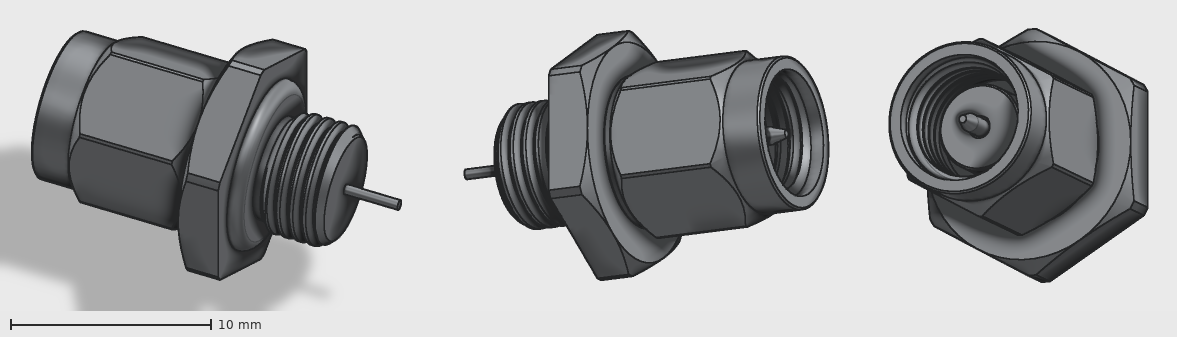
import cadquery as cq
import math


PITCH = 25.4 / 36
MAJOR_RADIUS = 6.35 / 2
MINOR_RADIUS = 2.8
ROOT_FLAT = 0.09
CUTTER_OVERSHOOT = 0.06
FLANK_SLOPE = math.tan(math.radians(30))

NUT_LENGTH = 8.77
NUT_RADIUS = 3.87
NUT_CHAMFER = 0.1
NUT_HEX_START = 2.03
NUT_HEX_END = 8.38
NUT_HEX_FLATS = 7.9375
NUT_HEX_CORNER_RADIUS = 4.53
COUNTERBORE_RADIUS = 3.2
COUNTERBORE_DEPTH = 0.7
NUT_BORE_END = 4.7
NUT_THREAD_TURNS = 6
NUT_THREAD_START = 0.0

BARREL_RADIUS = 2.2
BARREL_CHAMFER = 0.1
BARREL_FRONT = 2.54
FLANGE_END = 10.95
FLANGE_FLATS = 11.11
FLANGE_CORNER_RADIUS = 12.58 / 2
FLANGE_CHAMFER_SLOPE = math.tan(math.radians(30))
RIM_END = 11.6
RIM_RADIUS = 4.48
NECK_RADIUS = 2.71
NECK_END = 12.0
REAR_END = 15.48
REAR_THREAD_START = 11.6
REAR_THREAD_TURNS = 6

PIN_TIP = 0.43
PIN_TIP_RADIUS = 0.2
PIN_RADIUS = 0.46
PIN_CONE_END = 1.3
PIN_RECESS_RADIUS = 0.57
PIN_RECESS_DEPTH = 0.2
WIRE_RADIUS = 0.26
WIRE_END = 18.41


def axial_sketch():
    """Sketch through the axis: its x is the place along X and its y is the radius, towards -Z."""
    return cq.Workplane(cq.Plane(origin=(0, 0, 0), xDir=(1, 0, 0), normal=(0, 1, 0)))


def spin(outline):
    """Turn a closed axial outline once about the connector axis."""
    return outline.revolve(360, (0, 0, 0), (1, 0, 0))


def revolve_about_x(points):
    """Round solid from an outline of (x, radius) points."""
    return spin(axial_sketch().polyline(points).close())


def cylinder(radius, start, end):
    """Solid cylinder along X."""
    return revolve_about_x([(start, 0), (start, radius), (end, radius), (end, 0)])


def hexagon(flats, start, end):
    """Hexagonal prism along X with two corners on the Z axis."""
    across_corners = flats / math.cos(math.radians(30))
    plane = cq.Plane(origin=(start, 0, 0), xDir=(0, 0, 1), normal=(1, 0, 0))
    return cq.Workplane(plane).polygon(6, across_corners).extrude(end - start)


def thread_groove(inner_radius, outer_radius, inner_width, outer_width, start, turns):
    """Right-handed helical groove about X whose first turn begins at the -Z side."""
    section = [
        (inner_radius, -inner_width / 2),
        (outer_radius, -outer_width / 2),
        (outer_radius, outer_width / 2),
        (inner_radius, inner_width / 2),
    ]
    faces = []
    for turn in range(turns):
        helices = [
            cq.Wire.makeHelix(PITCH, PITCH, radius, cq.Vector(0, 0, z + turn * PITCH)).Edges()[0]
            for radius, z in section
        ]
        for corner, helix in enumerate(helices):
            faces.append(cq.Face.makeRuledSurface(helices[corner - 1], helix))
    for end in (0, turns * PITCH):
        corners = [cq.Vector(radius, 0, z + end) for radius, z in section]
        faces.append(cq.Face.makeFromWires(cq.Wire.makePolygon(corners, close=True)))
    groove = cq.Workplane(cq.Solid.makeSolid(cq.Shell.makeShell(faces)))
    return groove.rotate((0, 0, 0), (0, 1, 0), 90).translate((start, 0, 0))


def make_nut():
    """Hex coupling nut: threaded blind bore in front, plain bore around the barrel behind it."""
    hex_rise = NUT_HEX_CORNER_RADIUS - NUT_RADIUS
    hex_envelope = revolve_about_x([
        (NUT_HEX_START, 0),
        (NUT_HEX_START, NUT_RADIUS),
        (NUT_HEX_START + hex_rise, NUT_HEX_CORNER_RADIUS),
        (NUT_HEX_END - hex_rise, NUT_HEX_CORNER_RADIUS),
        (NUT_HEX_END, NUT_RADIUS),
        (NUT_HEX_END, 0),
    ])
    collar = cylinder(NUT_RADIUS, 0, NUT_LENGTH)
    collar = collar.faces("<X").chamfer(NUT_CHAMFER)
    collar = collar.faces(">X").chamfer(NUT_CHAMFER)
    nut = hexagon(NUT_HEX_FLATS, NUT_HEX_START, NUT_HEX_END).intersect(hex_envelope).union(collar)

    cone_end = COUNTERBORE_DEPTH + COUNTERBORE_RADIUS - MINOR_RADIUS
    bore = revolve_about_x([
        (0, 0),
        (0, COUNTERBORE_RADIUS),
        (COUNTERBORE_DEPTH, COUNTERBORE_RADIUS),
        (cone_end, MINOR_RADIUS),
        (NUT_BORE_END, MINOR_RADIUS),
        (NUT_BORE_END, BARREL_RADIUS),
        (NUT_LENGTH, BARREL_RADIUS),
        (NUT_LENGTH, 0),
    ])
    inner_radius = MINOR_RADIUS - CUTTER_OVERSHOOT
    inner_width = ROOT_FLAT + 2 * FLANK_SLOPE * (MAJOR_RADIUS - inner_radius)
    groove = thread_groove(
        inner_radius, MAJOR_RADIUS, inner_width, ROOT_FLAT, NUT_THREAD_START, NUT_THREAD_TURNS
    )
    return nut.cut(bore).cut(groove)


def make_flange():
    chamfer_radius = FLANGE_FLATS / 2
    chamfer_length = (FLANGE_CORNER_RADIUS - chamfer_radius) * FLANGE_CHAMFER_SLOPE
    envelope = revolve_about_x([
        (NUT_LENGTH, 0),
        (NUT_LENGTH, chamfer_radius),
        (NUT_LENGTH + chamfer_length, FLANGE_CORNER_RADIUS),
        (FLANGE_END, FLANGE_CORNER_RADIUS),
        (FLANGE_END, 0),
    ])
    return hexagon(FLANGE_FLATS, NUT_LENGTH, FLANGE_END).intersect(envelope)


def make_rim():
    """Sealing rim whose outer edge is a quarter round over its full length."""
    rim_round = RIM_END - FLANGE_END
    round_middle = rim_round * math.sqrt(0.5)
    outline = (
        axial_sketch()
        .moveTo(FLANGE_END, 0)
        .lineTo(FLANGE_END, RIM_RADIUS)
        .threePointArc(
            (FLANGE_END + round_middle, RIM_RADIUS - rim_round + round_middle),
            (RIM_END, RIM_RADIUS - rim_round),
        )
        .lineTo(RIM_END, 0)
        .close()
    )
    return spin(outline)


def make_rear_thread():
    rise = MAJOR_RADIUS - NECK_RADIUS
    blank = revolve_about_x([
        (NECK_END, 0),
        (NECK_END, NECK_RADIUS),
        (NECK_END + rise, MAJOR_RADIUS),
        (REAR_END - rise, MAJOR_RADIUS),
        (REAR_END, NECK_RADIUS),
        (REAR_END, 0),
    ])
    outer_radius = MAJOR_RADIUS + CUTTER_OVERSHOOT
    outer_width = ROOT_FLAT + 2 * FLANK_SLOPE * (outer_radius - MINOR_RADIUS)
    groove = thread_groove(
        MINOR_RADIUS, outer_radius, ROOT_FLAT, outer_width, REAR_THREAD_START, REAR_THREAD_TURNS
    )
    return blank.cut(groove)


def make_pin():
    return revolve_about_x([
        (PIN_TIP, 0),
        (PIN_TIP, PIN_TIP_RADIUS),
        (PIN_CONE_END, PIN_RADIUS),
        (BARREL_FRONT + PIN_RECESS_DEPTH, PIN_RADIUS),
        (BARREL_FRONT + PIN_RECESS_DEPTH, 0),
    ])


def make_body():
    """Barrel with its contact pin, hex flange, sealing rim, threaded neck and rear wire."""
    barrel = cylinder(BARREL_RADIUS, BARREL_FRONT, NUT_LENGTH).faces("<X").chamfer(BARREL_CHAMFER)
    barrel = barrel.cut(cylinder(PIN_RECESS_RADIUS, BARREL_FRONT, BARREL_FRONT + PIN_RECESS_DEPTH))
    neck = cylinder(NECK_RADIUS, RIM_END, NECK_END)
    wire = cylinder(WIRE_RADIUS, REAR_END, WIRE_END)
    body = barrel
    for section in (make_pin(), make_flange(), make_rim(), neck, make_rear_thread(), wire):
        body = body.union(section)
    return body


nut = make_nut()
body = make_body()
result = cq.Compound.makeCompound([nut.val(), body.val()])